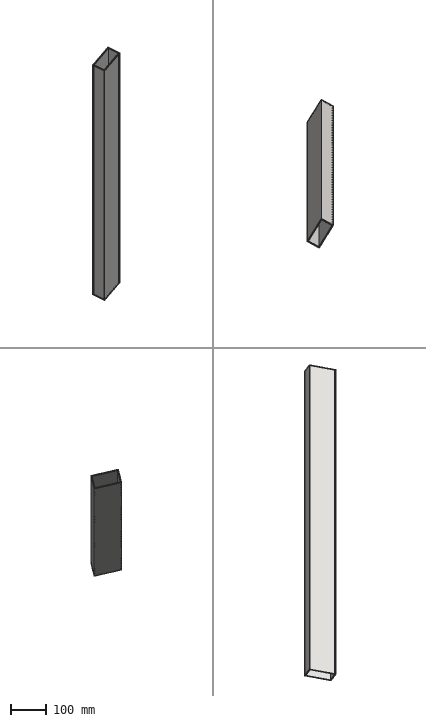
import cadquery as cq

width = 40.0
depth = 80.0
length = 1000.0
wall = 3.0

outer = cq.Workplane("XY").rect(width, depth).extrude(length)
bore = cq.Workplane("XY").rect(width - 2 * wall, depth - 2 * wall).extrude(length)

result = outer.cut(bore)